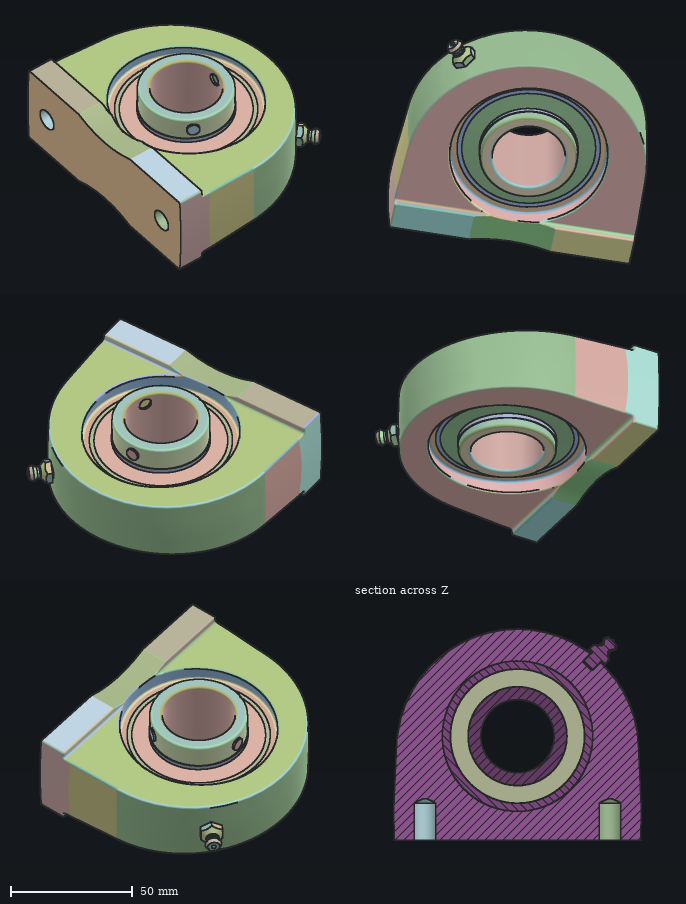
import cadquery as cq
import math


axis_height = 42.9
overall_width = 101.9
head_radius = 49.9
head_top_y = 44.1
flank_angle = 2.5
body_crown_radius = 285.3
foot_crown_radius = 254.8
edge_round = 0.8

foot_thickness = 38.0
foot_step_y = -31.0
step_round = 0.9
step_corner_round = 0.7
face_slope = 2.44
head_top_thickness = 25.9

scallop_width = 34.0
scallop_depth = 3.2
bolt_hole_diameter = 9.2
bolt_hole_spacing = 76.2
bolt_hole_depth = 15.3
drill_point_angle = 118.0

outer_ring_sphere_diameter = 62.0
outer_ring_width = 19.0
outer_ring_bore = 55.1
recess_diameter = 65.0
recess_floor_round = 0.9
recess_rim_round = 0.7
scallop_rim_round = 0.4
shaft_diameter = 30.0
inner_ring_top = 22.2
inner_ring_bottom = -15.9
inner_ring_land_diameter = 40.8
inner_ring_end_diameter = 40.3
inner_ring_land_width = 24.0
inner_ring_round = 1.0
seal_thickness = 2.0
seal_cone_angle = 4.0

screw_diameter = 5.4
screw_z = 17.2
screw_inner_radius = 15.9
screw_outer_radius = 20.9
screw_directions = (90.0, -30.0)

nipple_direction = 45.0
nipple_seat_radius = 46.0
nipple_stem_diameter = 6.0
nipple_stem_length = 5.1
hexagon_across_flats = 9.0
hexagon_height = 2.9
nipple_collar_diameter = 5.4
nipple_neck_diameter = 4.9
collar_start = 4.5
neck_start = 5.0
neck_end = 6.0
nipple_head_diameter = 6.8
head_widest_at = 7.6
nipple_tip_diameter = 5.1
nipple_length = 9.4
tip_ball_diameter = 2.0
tip_ball_sink = 0.4

tolerance = 0.1
outline_inset = 47.9

half_foot = foot_thickness / 2
half_ring = outer_ring_width / 2


def crown_sag(crown_radius):
    """Distance by which a crowned side falls back from mid-height to the foot's faces."""
    return crown_radius - math.sqrt(crown_radius**2 - half_foot**2)


def crowned_half_section(workplane, half_width, crown_radius):
    """Half cross-section from local x = 0 to a side that bulges by an arc of crown_radius."""
    edge = half_width - crown_sag(crown_radius)
    return (
        workplane
        .moveTo(0, -half_foot)
        .lineTo(edge, -half_foot)
        .threePointArc((half_width, 0), (edge, half_foot))
        .lineTo(0, half_foot)
        .close()
    )


def both_halves(right_half):
    return right_half.union(right_half.mirror("YZ"))


def both_faces(upper_half):
    return upper_half.union(upper_half.mirror("XY"))


def outline_blank():
    """Full-thickness block: round head and spreading flanks, limited by the sides of the foot."""
    head_center = (0, head_top_y - head_radius, 0)
    head_plane = cq.Workplane("XZ", origin=head_center)
    head_section = crowned_half_section(head_plane, head_radius, body_crown_radius)
    head = head_section.revolve(360, (0, 0, 0), (0, 1, 0))

    sine = math.sin(math.radians(flank_angle))
    cosine = math.cos(math.radians(flank_angle))
    flank_plane = cq.Plane(head_center, (cosine, sine, 0), (sine, -cosine, 0))
    flank_section = crowned_half_section(cq.Workplane(flank_plane), head_radius, body_crown_radius)
    flank = flank_section.extrude(axis_height + head_radius)

    depth = axis_height + head_top_y
    foot_plane = cq.Workplane("XZ", origin=(0, head_top_y + 1, 0))
    foot_section = crowned_half_section(foot_plane, overall_width / 2, foot_crown_radius)
    foot_sides = foot_section.extrude(depth + 1)
    return head.union(both_halves(flank)).intersect(both_halves(foot_sides))


def body_half_thickness(y):
    """Half the housing's thickness on its tapered faces."""
    return head_top_thickness / 2 + (head_top_y - y) * math.tan(math.radians(face_slope))


def side_profile():
    """Upper half slab across X: flat foot, rounded step and a face that tapers towards the head."""
    beyond = head_top_y + edge_round
    step_half = body_half_thickness(foot_step_y)
    slab = (
        cq.Workplane("YZ")
        .polyline([
            (-axis_height, 0),
            (-axis_height, half_foot),
            (foot_step_y, half_foot),
            (foot_step_y, step_half),
            (beyond, body_half_thickness(beyond)),
            (beyond, 0),
        ])
        .close()
        .extrude(overall_width, both=True)
    )
    slab = slab.edges(edges_along_step(step_half)).fillet(step_round)
    return slab.edges(edges_along_step(half_foot)).fillet(step_corner_round)


def edges_along_step(height):
    """Selects the edge that runs across the housing on the step of the foot at the given height."""
    low = (-overall_width, foot_step_y - tolerance, height - tolerance)
    high = (overall_width, foot_step_y + tolerance, height + tolerance)
    return cq.selectors.BoxSelector(low, high)


def outline_edges(body):
    """Edges where the outer sides of the body meet its upper and lower faces."""
    head_center_y = head_top_y - head_radius
    found = []
    for edge in body.edges().vals():
        middle = edge.positionAt(0.5)
        beside = abs(middle.x) > outline_inset
        around = math.hypot(middle.x, middle.y - head_center_y) > outline_inset
        on_foot_bottom = abs(middle.y + axis_height) < tolerance
        if (beside or around) and abs(middle.z) > half_ring and not on_foot_bottom:
            found.append(edge)
    return body.newObject(found)


def scallop():
    """Cutter for the shallow hollow across the upper face of the foot."""
    half_width = scallop_width / 2
    floor = half_foot - scallop_depth
    depth = axis_height + foot_step_y + step_round
    return (
        cq.Workplane("XZ", origin=(0, foot_step_y + step_round, 0))
        .moveTo(-half_width, half_foot)
        .threePointArc((0, floor), (half_width, half_foot))
        .close()
        .extrude(depth)
    )


def recess():
    """Cutter for the open recess above the bearing."""
    cutter = cq.Workplane().circle(recess_diameter / 2).extrude(foot_thickness)
    return cutter.faces("<Z").edges().fillet(recess_floor_round).translate((0, 0, half_ring))


def bolt_holes():
    """Cutters for the two blind holes in the mounting face, each with a drill point."""
    radius = bolt_hole_diameter / 2
    point = radius / math.tan(math.radians(drill_point_angle / 2))
    hole = (
        cq.Workplane("XY")
        .polyline([(0, 0), (radius, 0), (radius, bolt_hole_depth), (0, bolt_hole_depth + point)])
        .close()
        .revolve(360, (0, 0, 0), (0, 1, 0))
    )
    left = hole.translate((-bolt_hole_spacing / 2, -axis_height, 0))
    return left.union(left.mirror("YZ"))


def edge_through(body, point):
    """The edge of the body that passes closest to a point."""
    target = cq.Vertex.makeVertex(*point)
    return min(body.edges().vals(), key=target.distance)


def round_recess_rims(body):
    """Rounds both recess mouths, first on the tapered faces and then across the scallops."""
    radius = recess_diameter / 2
    on_taper = (radius, body_half_thickness(radius))
    on_scallop = (-radius, half_foot - scallop_depth)
    for (y, z), rounding in ((on_taper, recess_rim_round), (on_scallop, scallop_rim_round)):
        edges = [edge_through(body, (0, y, face * z)) for face in (1, -1)]
        body = body.newObject(edges).fillet(rounding)
    return body


def make_housing():
    slab = side_profile()
    body = outline_blank().intersect(both_faces(slab))
    body = outline_edges(body).fillet(edge_round)
    body = body.cut(both_faces(scallop())).cut(both_faces(recess()))
    body = round_recess_rims(body)
    body = body.cut(cq.Workplane().sphere(outer_ring_sphere_diameter / 2))
    return body.cut(bolt_holes()).cut(place_nipple(nipple_stem()))


def turned(profile):
    """Solid of revolution about Z from (radius, z) points."""
    return cq.Workplane("XZ").polyline(profile).close().revolve(360, (0, 0, 0), (0, 1, 0))


def make_outer_ring():
    ball = cq.Workplane().sphere(outer_ring_sphere_diameter / 2)
    band = cq.Workplane().circle(outer_ring_sphere_diameter).circle(outer_ring_bore / 2)
    return ball.intersect(band.extrude(half_ring, both=True))


def make_inner_ring():
    end_radius = inner_ring_end_diameter / 2
    land_radius = inner_ring_land_diameter / 2
    half_land = inner_ring_land_width / 2
    bore_radius = shaft_diameter / 2
    ring = turned([
        (bore_radius, inner_ring_bottom),
        (end_radius, inner_ring_bottom),
        (end_radius, -half_land),
        (land_radius, -half_land),
        (land_radius, half_land),
        (end_radius, half_land),
        (end_radius, inner_ring_top),
        (bore_radius, inner_ring_top),
    ])
    ring = ring.faces("<Z or >Z").edges().fillet(inner_ring_round)
    for direction in screw_directions:
        ring = ring.cut(radial_rod(direction, 0, 2 * land_radius))
    return ring


def radial_rod(direction, start, end):
    """Rod of the set screw diameter between two distances from the bearing axis."""
    rod = cq.Workplane("YZ", origin=(start, 0, screw_z)).circle(screw_diameter / 2).extrude(end - start)
    return rod.rotate((0, 0, 0), (0, 0, 1), direction)


def make_set_screw(direction):
    return radial_rod(direction, screw_inner_radius, screw_outer_radius)


def make_seal(face):
    """Conical seal between the rings; face is 1 for the upper side, -1 for the lower."""
    inner = inner_ring_land_diameter / 2
    outer = outer_ring_bore / 2
    rise = (outer - inner) * math.tan(math.radians(seal_cone_angle))
    seal = turned([
        (inner, half_ring - seal_thickness),
        (outer, half_ring - seal_thickness),
        (outer, half_ring),
        (inner, half_ring + rise),
    ])
    return seal if face > 0 else seal.mirror("XY")


def nipple_stem():
    return cq.Workplane().circle(nipple_stem_diameter / 2).extrude(-nipple_stem_length)


def place_nipple(shape):
    """Lays a shape built along +Z onto the nipple's axis in the housing's mid-plane."""
    along_x = shape.rotate((0, 0, 0), (0, 1, 0), 90).translate((nipple_seat_radius, 0, 0))
    return along_x.rotate((0, 0, 0), (0, 0, 1), nipple_direction)


def make_nipple():
    corner_radius = hexagon_across_flats / math.sqrt(3)
    neck_radius = nipple_neck_diameter / 2
    collar_radius = nipple_collar_diameter / 2
    flat_radius = hexagon_across_flats / 2
    taper = (flat_radius - collar_radius) / (collar_start - hexagon_height)
    corner_drop = (corner_radius - flat_radius) / taper
    hexagon = cq.Workplane().polygon(6, 2 * corner_radius).extrude(neck_start)
    turned_nut = turned([
        (0, 0),
        (corner_radius, 0),
        (corner_radius, hexagon_height - corner_drop),
        (collar_radius, collar_start),
        (collar_radius, neck_start),
        (0, neck_start),
    ])
    head = turned([
        (0, neck_start),
        (neck_radius, neck_start),
        (neck_radius, neck_end),
        (nipple_head_diameter / 2, head_widest_at),
        (nipple_tip_diameter / 2, nipple_length),
        (0, nipple_length),
    ])
    tip_ball = cq.Workplane().sphere(tip_ball_diameter / 2).translate((0, 0, nipple_length - tip_ball_sink))
    nipple = hexagon.intersect(turned_nut).union(head).union(nipple_stem()).union(tip_ball)
    return place_nipple(nipple)


housing = make_housing()
outer_ring = make_outer_ring()
inner_ring = make_inner_ring()
seals = [make_seal(face) for face in (1, -1)]
set_screws = [make_set_screw(direction) for direction in screw_directions]
grease_nipple = make_nipple()

result = cq.Compound.makeCompound([
    housing.val(),
    outer_ring.val(),
    inner_ring.val(),
    *[seal.val() for seal in seals],
    *[screw.val() for screw in set_screws],
    grease_nipple.val(),
])